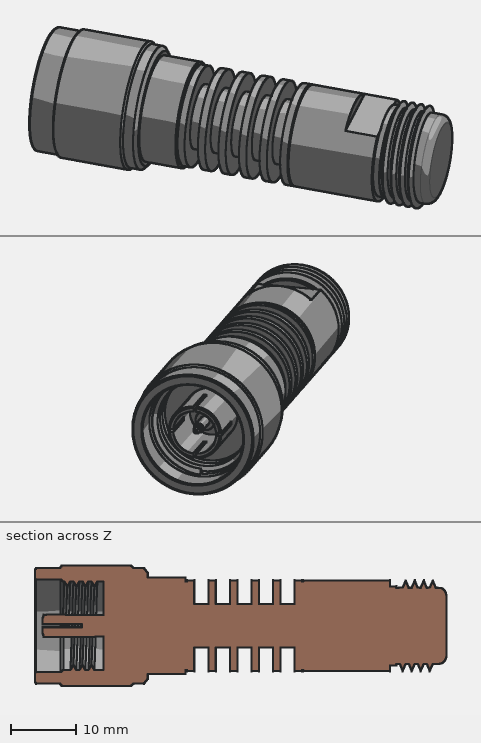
import cadquery as cq
import math

total_length = 62.99

nut_radius = 10.0
nut_collar_radius = 9.65
nut_front_chamfer = 0.22
nut_step_chamfer = 0.22
nut_grip_start = 4.08
nut_grip_end = 15.1
nut_end = 17.3
nut_rear_chamfer_length = 0.6
nut_rear_chamfer_height = 0.7

shoulder_radius = 8.3
shoulder_end = 23.05
fin_radius = 7.93
fin_core_radius = 5.07
fin_count = 6
fin_width = 1.17
fin_pitch = 3.29
first_fin_start = 23.25
seam_depth = 0.15
seam_width = 0.15
body_radius = fin_radius
body_end = 54.35
flat_start = 49.25
flat_height = 6.13

neck_radius = 7.16
neck_end = 55.3
tail_radius = 6.97
tail_fillet = 1.15

thread_pitch = 1.38
thread_ridge_width = 1.1
tail_thread_ridge_height = 0.96
thread_root_overlap = 0.15
tail_thread_start = 55.45
tail_thread_turns = 4
tail_thread_start_angle = 90

bore_radius = 8.0
bore_depth = 3.95
bore_mouth_chamfer = 0.16
threaded_bore_radius = 7.7
threaded_bore_lead = 0.45
socket_depth = 10.5
nut_thread_ridge_height = 0.7
nut_thread_start = 4.75
nut_thread_turns = 3.75
nut_thread_start_angle = 0

tube_tip = 1.15
tube_radius = 4.15
tube_bore_radius = 3.4
tube_tip_chamfer = 0.2
tube_slot_width = 0.45
tube_slot_length = 6.0
tube_slot_count = 4
pin_tip = 2.0
pin_point_radius = 0.12
pin_point_length = 0.2
pin_tip_radius = 0.5
pin_taper_start = 3.1
pin_taper_length = 0.3
pin_radius = 0.75
pin_base_radius = 1.5
pin_base_start = 7.0


def turned(start, end, radius):
    """Cylinder on the X axis between two stations."""
    return cq.Workplane("YZ").workplane(offset=start).circle(radius).extrude(end - start)


def revolved(points):
    """Solid of revolution about X from a closed (x, radius) outline."""
    return cq.Workplane("XY").polyline(points).close().revolve(360, (0, 0, 0), (1, 0, 0))


def make_nut():
    rear_chamfer = nut_radius - nut_collar_radius
    return revolved([
        (0, 0),
        (0, nut_collar_radius - nut_front_chamfer),
        (nut_front_chamfer, nut_collar_radius),
        (nut_grip_start - nut_step_chamfer, nut_collar_radius),
        (nut_grip_start, nut_radius),
        (nut_grip_end - rear_chamfer, nut_radius),
        (nut_grip_end, nut_collar_radius),
        (nut_end - nut_rear_chamfer_length, nut_collar_radius),
        (nut_end, nut_collar_radius - nut_rear_chamfer_height),
        (nut_end, 0),
    ])


def make_finned_body():
    last_fin_end = first_fin_start + (fin_count - 1) * fin_pitch + fin_width
    body_start = last_fin_end + seam_width
    body = turned(nut_end, shoulder_end, shoulder_radius)
    body = body.union(turned(shoulder_end, first_fin_start, fin_radius - seam_depth))
    body = body.union(turned(first_fin_start, last_fin_end, fin_core_radius))
    for index in range(fin_count):
        fin_start = first_fin_start + index * fin_pitch
        body = body.union(turned(fin_start, fin_start + fin_width, fin_radius))
    body = body.union(turned(last_fin_end, body_start, fin_radius - seam_depth))
    main = turned(body_start, body_end, body_radius)
    flat_cut = cq.Workplane("XY").box(
        body_end - flat_start, 2 * body_radius, body_radius, centered=(False, True, False)
    ).translate((flat_start, 0, flat_height))
    return body.union(main.cut(flat_cut))


def make_thread(start, turns, start_angle, root_radius, crest_radius):
    """Right-handed V ridge wound along X; a crest inside its root makes an internal thread."""
    overlap = math.copysign(thread_root_overlap, root_radius - crest_radius)
    base_radius = root_radius + overlap
    half_width = thread_ridge_width / 2
    helix = cq.Wire.makeHelix(thread_pitch, turns * thread_pitch, base_radius)
    ridge = (
        cq.Workplane("XZ")
        .polyline([(base_radius, -half_width), (crest_radius, 0), (base_radius, half_width)])
        .close()
        .sweep(cq.Workplane(helix), isFrenet=True)
    )
    ridge = ridge.rotate((0, 0, 0), (0, 0, 1), start_angle).rotate((0, 0, 0), (0, 1, 0), 90)
    return ridge.translate((start, 0, 0))


def make_tail():
    core = turned(neck_end, total_length, tail_radius).faces(">X").edges().fillet(tail_fillet)
    thread = make_thread(
        tail_thread_start,
        tail_thread_turns,
        tail_thread_start_angle,
        tail_radius,
        tail_radius + tail_thread_ridge_height,
    )
    return turned(body_end, neck_end, neck_radius).union(core).union(thread)


def make_socket_cavity():
    return revolved([
        (0, 0),
        (0, bore_radius + bore_mouth_chamfer),
        (bore_mouth_chamfer, bore_radius),
        (bore_depth, bore_radius),
        (bore_depth + threaded_bore_lead, threaded_bore_radius),
        (socket_depth, threaded_bore_radius),
        (socket_depth, 0),
    ])


def make_contact_tube():
    tube = turned(tube_tip, socket_depth, tube_radius).faces("<X").edges().chamfer(tube_tip_chamfer)
    tube = tube.cut(turned(tube_tip, socket_depth, tube_bore_radius))
    for index in range(tube_slot_count):
        slot = cq.Workplane("XY").box(
            tube_slot_length, tube_slot_width, tube_radius, centered=(False, True, False)
        ).translate((tube_tip, 0, 0))
        tube = tube.cut(slot.rotate((0, 0, 0), (1, 0, 0), index * 360 / tube_slot_count))
    return tube


def make_centre_pin():
    return revolved([
        (pin_tip, 0),
        (pin_tip, pin_point_radius),
        (pin_tip + pin_point_length, pin_tip_radius),
        (pin_taper_start, pin_tip_radius),
        (pin_taper_start + pin_taper_length, pin_radius),
        (pin_base_start, pin_radius),
        (pin_base_start, pin_base_radius),
        (socket_depth, pin_base_radius),
        (socket_depth, 0),
    ])


nut_thread = make_thread(
    nut_thread_start,
    nut_thread_turns,
    nut_thread_start_angle,
    threaded_bore_radius,
    threaded_bore_radius - nut_thread_ridge_height,
)
socket_end = make_nut().cut(make_socket_cavity()).union(nut_thread)
result = (
    socket_end
    .union(make_contact_tube())
    .union(make_centre_pin())
    .union(make_finned_body())
    .union(make_tail())
)